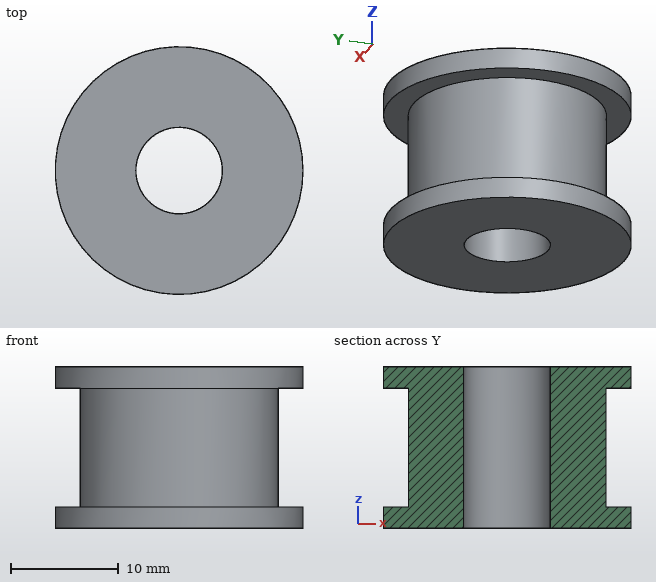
import cadquery as cq

flange_diameter = 23.0
core_diameter = 18.4
bore_diameter = 8.0
total_height = 15.0
flange_thickness = 2.0

core_height = total_height - 2 * flange_thickness

spool = (
    cq.Workplane("XY")
    .circle(flange_diameter / 2)
    .extrude(flange_thickness)
    .faces(">Z").workplane()
    .circle(core_diameter / 2)
    .extrude(core_height)
    .faces(">Z").workplane()
    .circle(flange_diameter / 2)
    .extrude(flange_thickness)
)

result = spool.faces(">Z").workplane().hole(bore_diameter)